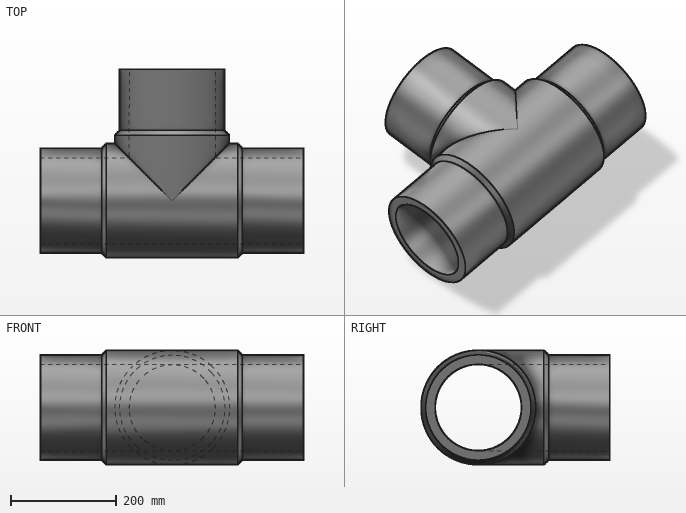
import cadquery as cq

run_length = 500.0
pipe_diameter = 200.0
bore_diameter = 163.5
body_diameter = 218.0
body_reach = 133.5

pipe_reach = run_length / 2
pipe_radius = pipe_diameter / 2
bore_radius = bore_diameter / 2
body_radius = body_diameter / 2
chamfer = body_radius - pipe_radius

run_start = cq.Plane(origin=(-pipe_reach, 0, 0), xDir=(0, 1, 0), normal=(1, 0, 0))
body_start = cq.Plane(origin=(-body_reach, 0, 0), xDir=(0, 1, 0), normal=(1, 0, 0))
branch_start = cq.Plane(origin=(0, 0, 0), xDir=(1, 0, 0), normal=(0, 1, 0))


def cylinder(plane, radius, length):
    return cq.Workplane(plane).circle(radius).extrude(length)


run_body = cylinder(body_start, body_radius, 2 * body_reach).faces("<X or >X").chamfer(chamfer)
branch_body = cylinder(branch_start, body_radius, body_reach).faces(">Y").chamfer(chamfer)
body = run_body.union(branch_body)

run_pipe = cylinder(run_start, pipe_radius, run_length)
branch_pipe = cylinder(branch_start, pipe_radius, pipe_reach)

run_bore = cylinder(run_start, bore_radius, run_length)
branch_bore = cylinder(branch_start, bore_radius, pipe_reach)

result = body.union(run_pipe).union(branch_pipe).cut(run_bore).cut(branch_bore)